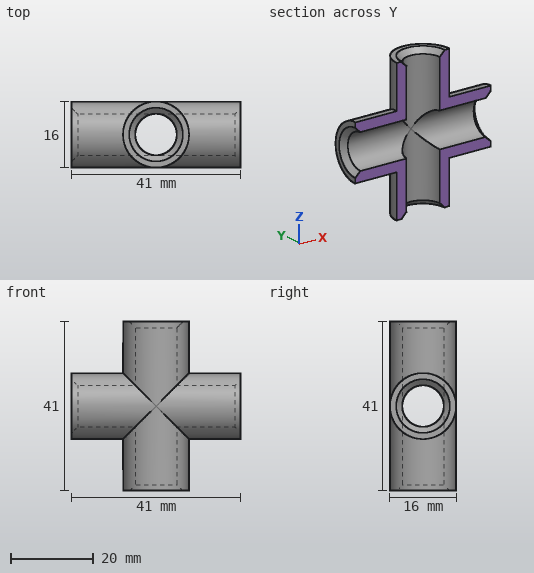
import cadquery as cq

LENGTH = 41.0
OUTER_DIAMETER = 16.0
BORE_DIAMETER = 10.0
MOUTH_DIAMETER = 13.0
MOUTH_DEPTH = 1.5

TUBE_PLANES = ("YZ", "XY")


def tube_body(plane):
    """Solid cylinder of full tube length, centred on the origin."""
    return cq.Workplane(plane).circle(OUTER_DIAMETER / 2).extrude(LENGTH / 2, both=True)


def tube_bore(plane):
    """Through bore that flares to the mouth diameter at both ends."""
    half_length = LENGTH / 2
    bore_radius = BORE_DIAMETER / 2
    mouth_radius = MOUTH_DIAMETER / 2
    flare_start = half_length - MOUTH_DEPTH
    bore = cq.Workplane(plane).circle(bore_radius).extrude(half_length, both=True)
    for side in (-1, 1):
        flare = (
            cq.Workplane(plane)
            .workplane(offset=side * flare_start)
            .circle(bore_radius)
            .workplane(offset=side * MOUTH_DEPTH)
            .circle(mouth_radius)
            .loft(ruled=True)
        )
        bore = bore.union(flare)
    return bore


along_x, along_z = TUBE_PLANES
cross = tube_body(along_x).union(tube_body(along_z))
for tube_plane in TUBE_PLANES:
    cross = cross.cut(tube_bore(tube_plane))

result = cross